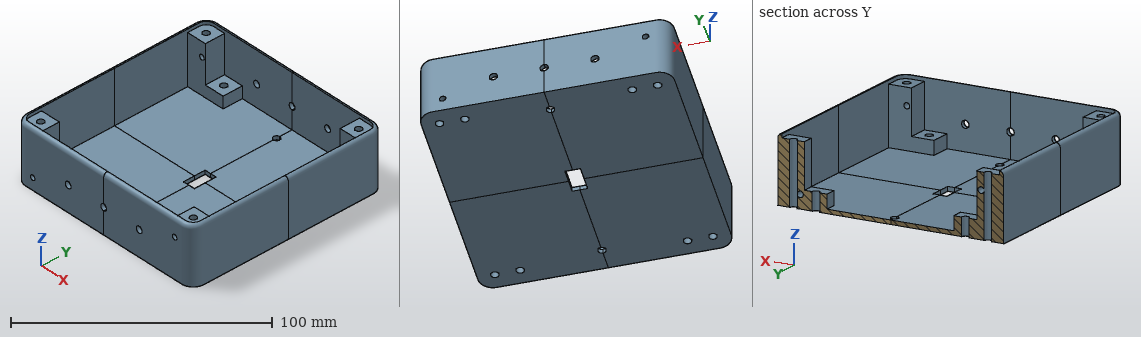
import cadquery as cq

side = 100.0
height = 29.0
wall = 2.0
floor = 2.0
corner_radius = 6.0
rim_radius = wall
half_side = side / 2
half_inside = half_side - wall

post_side = 10.0
lid_recess = 1.6
tall_post_top = height - lid_recess
short_post_top = 8.0
post_hole_from_edge = 7.0

screw_diameter = 3.2
floor_hole_y = 40.0
window_x = 6.1
window_y = 11.2

wall_hole_pitch = 20.0
wall_hole_z = 13.0
post_side_hole_diameter = 2.5
post_side_hole_x = 40.0
post_side_hole_low_z = 6.0
post_side_hole_high_z = 20.0

SIGNS = (-1, 1)


def tray_shell():
    """Whole tray with rounded corners and a rounded outer rim."""
    block = cq.Workplane("XY").rect(side, side).extrude(height)
    block = block.edges("|Z").fillet(corner_radius)
    block = block.faces(">Z").edges().fillet(rim_radius)
    cavity = cq.Workplane("XY", origin=(0, 0, floor)).rect(2 * half_inside, 2 * half_inside)
    cavity = cavity.extrude(height - floor).edges("|Z").fillet(corner_radius - wall)
    return block.cut(cavity)


def four_corners(x, y):
    """The point (x, y) and its mirror images in the other three quarters."""
    return [(x_sign * x, y_sign * y) for x_sign in SIGNS for y_sign in SIGNS]


def posts():
    """Tall and short posts standing on the floor in all four corners."""
    tall_centre = half_inside - post_side / 2
    short_centre_x = tall_centre - post_side
    plane = cq.Workplane("XY", origin=(0, 0, floor))
    tall = plane.pushPoints(four_corners(tall_centre, tall_centre))
    tall = tall.rect(post_side, post_side).extrude(tall_post_top - floor)
    short = plane.pushPoints(four_corners(short_centre_x, tall_centre))
    short = short.rect(post_side, post_side).extrude(short_post_top - floor)
    return tall.union(short)


def vertical_openings():
    """Screw holes through the posts and floor, and the window in the middle of the floor."""
    tall_hole = half_side - post_hole_from_edge
    points = four_corners(tall_hole, tall_hole) + four_corners(tall_hole - post_side, tall_hole)
    points += [(0, -floor_hole_y), (0, floor_hole_y)]
    holes = cq.Workplane("XY").pushPoints(points).circle(screw_diameter / 2).extrude(height)
    window = cq.Workplane("XY").rect(window_x, window_y).extrude(floor)
    return holes.union(window)


def wall_holes():
    """Three level holes along Y through both the -Y and +Y walls."""
    points = [(step * wall_hole_pitch, wall_hole_z) for step in (-1, 0, 1)]
    plane = cq.Workplane("XZ", origin=(0, half_side, 0))
    return plane.pushPoints(points).circle(screw_diameter / 2).extrude(side)


def post_side_hole(x_sign, y_sign):
    """Hole along Y through the wall and tall post; low and high alternate around the tray."""
    z = post_side_hole_low_z if x_sign == y_sign else post_side_hole_high_z
    depth = wall + post_side
    plane = cq.Workplane("XZ", origin=(x_sign * post_side_hole_x, y_sign * half_side, z))
    return plane.circle(post_side_hole_diameter / 2).extrude(y_sign * depth)


def quarter(tray, x_sign, y_sign):
    """The part of the tray on the given sides of X = 0 and Y = 0, with its post side hole."""
    region = cq.Workplane("XY", origin=(x_sign * half_side / 2, y_sign * half_side / 2, 0))
    region = region.rect(half_side, half_side).extrude(height)
    return tray.intersect(region).cut(post_side_hole(x_sign, y_sign)).solids()


whole_tray = tray_shell().union(posts()).cut(vertical_openings()).cut(wall_holes())
quarters = [quarter(whole_tray, x_sign, y_sign) for x_sign in SIGNS for y_sign in SIGNS]

result = cq.Compound.makeCompound([body.val() for body in quarters])